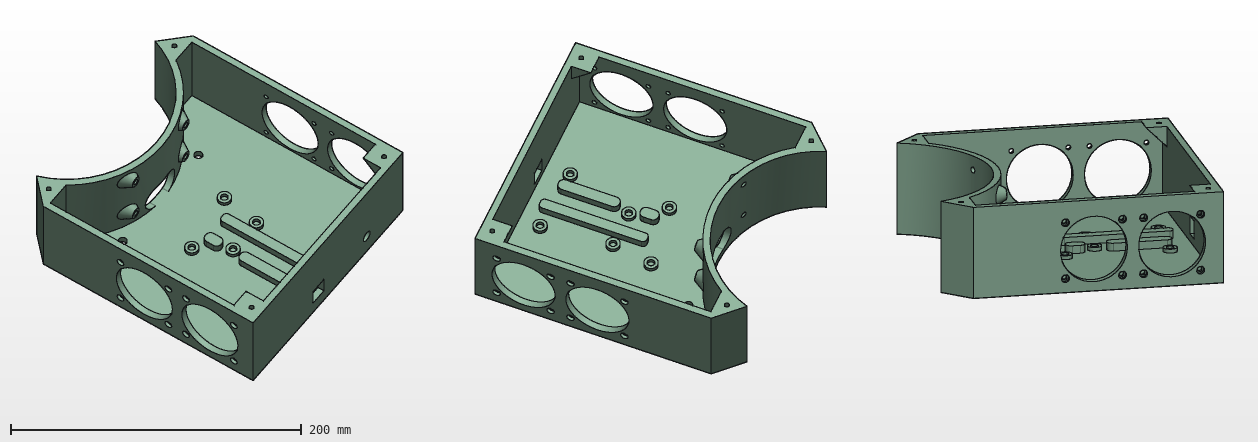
import cadquery as cq
import math

LENGTH = 195.0
WIDTH = 180.0
HEIGHT = 65.5
WALL = 5.0
FLOOR = 5.0
OVERCUT = 2.0

CORNER_CUT = 19.0
RECESS_RADIUS = 75.0
TIP_Y = WIDTH / 2 - CORNER_CUT
RECESS_CENTER_X = -math.sqrt(RECESS_RADIUS**2 - TIP_Y**2)
CAVITY_START_X = 21.3

GUSSET_SIZE = 14.6
LID_HOLE_DIAMETER = 3.3
LID_HOLE_DEPTH = 9.8
TIP_SCREW = (13.3, 75.5)
GUSSET_SCREW = (186.5, 79.5)

FAN_CENTERS_X = (103.7, 158.7)
FAN_CENTER_Z = 30.2
FAN_DIAMETER = 47.0
FAN_SCREW_PITCH = 40.2
FAN_SCREW_DIAMETER = 3.3
FAN_SCREW_HEAD_DIAMETER = 5.5
FAN_SCREW_HEAD_DEPTH = 2.5

BOSS_END_X = 54.6
BOSS_LENGTH = 9.8
BOSS_END_DIAMETER = 8.0
BOSS_TAPER = 31.0
BOSS_Y = 30.0
BOSS_HEIGHTS = (19.9, 55.4)
BOSS_HOLE_DIAMETER = 4.0
SLOT_LENGTH = 35.1
SLOT_HEIGHT = 19.9

PORT_CENTER_Z = 17.0
SQUARE_PORT_SIZE = 12.9
SQUARE_PORT_Y = -11.3
ROUND_PORT_DIAMETER = 8.0
ROUND_PORT_Y = 46.6

STANDOFF_DIAMETER = 10.0
STANDOFF_HOLE_DIAMETER = 5.3
STANDOFF_HEIGHT = 2.7
STANDOFFS = [(91.3, 24.0), (174.0, 24.0), (121.7, 19.0), (121.7, -9.2), (97.7, -24.4), (171.6, -24.4)]
RAIL_HEIGHT = 5.7
RAIL_START_X = 100.6
LONG_RAIL_Y = 8.0
SHORT_RAIL_START_X = 129.7
SHORT_RAIL_Y = -12.0
SHORT_RAIL_WIDTH = 8.5
SHORT_RAIL_CORNER = 3.9
RAILS = [
    (RAIL_START_X, LONG_RAIL_Y, 80.0, 7.8, 3.0),
    (RAIL_START_X, SHORT_RAIL_Y, 13.5, SHORT_RAIL_WIDTH, SHORT_RAIL_CORNER),
    (SHORT_RAIL_START_X, SHORT_RAIL_Y, 45.6, SHORT_RAIL_WIDTH, SHORT_RAIL_CORNER),
]
FLOOR_HOLE_DIAMETER = 6.0
FLOOR_HOLE_X = 54.5
FLOOR_HOLE_Y = 45.5


def cylinder_z(radius, height, x, y, z):
    return cq.Workplane("XY", origin=(x, y, z)).circle(radius).extrude(height)


def make_shell():
    half = WIDTH / 2
    outline = [
        (0, -TIP_Y), (CORNER_CUT, -half), (LENGTH, -half),
        (LENGTH, half), (CORNER_CUT, half), (0, TIP_Y),
    ]
    block = cq.Workplane("XY").polyline(outline).close().extrude(HEIGHT)
    cavity = cq.Workplane("XY", origin=(0, 0, FLOOR)).moveTo(CAVITY_START_X, -half + WALL)
    cavity = cavity.lineTo(LENGTH - WALL, -half + WALL).lineTo(LENGTH - WALL, half - WALL)
    cavity = cavity.lineTo(CAVITY_START_X, half - WALL).close().extrude(HEIGHT)
    curved_wall = cylinder_z(RECESS_RADIUS + WALL, HEIGHT, RECESS_CENTER_X, 0, 0)
    return block.cut(cavity.cut(curved_wall))


def make_gusset(side):
    """Corner gusset with a 45 degree underside, on the side = +1 or -1 Y wall."""
    wall_x = LENGTH - WALL
    profile = [(wall_x, HEIGHT), (wall_x - GUSSET_SIZE, HEIGHT), (wall_x, HEIGHT - GUSSET_SIZE)]
    gusset = cq.Workplane("XZ").polyline(profile).close().extrude(GUSSET_SIZE / 2, both=True)
    return gusset.translate((0, side * (WIDTH / 2 - WALL - GUSSET_SIZE / 2), 0))


def make_boss(y, z):
    """Cone frustum along X that widens toward the curved wall."""
    end_radius = BOSS_END_DIAMETER / 2
    base_radius = end_radius + BOSS_LENGTH * math.tan(math.radians(BOSS_TAPER))
    base_center = cq.Vector(BOSS_END_X - BOSS_LENGTH, y, z)
    cone = cq.Solid.makeCone(base_radius, end_radius, BOSS_LENGTH, base_center, cq.Vector(1, 0, 0))
    return cq.Workplane(cone)


def make_rail(start_x, center_y, length, width, corner_radius):
    rail = cq.Workplane("XY").box(length, width, RAIL_HEIGHT, centered=(False, True, False))
    return rail.edges("|Z").fillet(corner_radius).translate((start_x, center_y, FLOOR))


def make_fan_cutter():
    """Fan bores and counterbored screw holes through the -Y wall, heads on the outside."""
    half_pitch = FAN_SCREW_PITCH / 2
    fans = [(fan_x, FAN_CENTER_Z) for fan_x in FAN_CENTERS_X]
    screws = [
        (fan_x + dx, fan_z + dz)
        for fan_x, fan_z in fans
        for dx in (-half_pitch, half_pitch)
        for dz in (-half_pitch, half_pitch)
    ]
    outer_face = cq.Workplane("XZ", origin=(0, -WIDTH / 2, 0))
    bores = outer_face.pushPoints(fans).circle(FAN_DIAMETER / 2).extrude(-WALL)
    holes = outer_face.pushPoints(screws).circle(FAN_SCREW_DIAMETER / 2).extrude(-WALL)
    heads = outer_face.pushPoints(screws).circle(FAN_SCREW_HEAD_DIAMETER / 2).extrude(-FAN_SCREW_HEAD_DEPTH)
    return bores.union(holes).union(heads)


def make_port_cutters():
    """Square and round openings through the +X wall, at the same height."""
    wall_inside = cq.Workplane("YZ", origin=(LENGTH - WALL, 0, PORT_CENTER_Z))
    square_port = wall_inside.center(SQUARE_PORT_Y, 0).rect(SQUARE_PORT_SIZE, SQUARE_PORT_SIZE).extrude(WALL)
    round_port = wall_inside.center(ROUND_PORT_Y, 0).circle(ROUND_PORT_DIAMETER / 2).extrude(WALL)
    return square_port.union(round_port)


result = make_shell()
for side in (-1, 1):
    result = result.union(make_gusset(side))

boss_points = [(side * BOSS_Y, boss_z) for side in (-1, 1) for boss_z in BOSS_HEIGHTS]
for boss_y, boss_z in boss_points:
    result = result.union(make_boss(boss_y, boss_z))
result = result.cut(cylinder_z(RECESS_RADIUS, HEIGHT, RECESS_CENTER_X, 0, 0))

boss_holes = cq.Workplane("YZ").pushPoints(boss_points).circle(BOSS_HOLE_DIAMETER / 2)
result = result.cut(boss_holes.extrude(BOSS_END_X + OVERCUT))
slot = cq.Workplane("YZ", origin=(0, 0, FLOOR + SLOT_HEIGHT / 2)).slot2D(SLOT_LENGTH, SLOT_HEIGHT)
result = result.cut(slot.extrude(BOSS_END_X + OVERCUT))

for x, y in STANDOFFS:
    result = result.union(cylinder_z(STANDOFF_DIAMETER / 2, STANDOFF_HEIGHT, x, y, FLOOR))
    result = result.cut(cylinder_z(STANDOFF_HOLE_DIAMETER / 2, STANDOFF_HEIGHT, x, y, FLOOR))
for rail in RAILS:
    result = result.union(make_rail(*rail))

for side in (-1, 1):
    result = result.cut(cylinder_z(FLOOR_HOLE_DIAMETER / 2, FLOOR, FLOOR_HOLE_X, side * FLOOR_HOLE_Y, 0))
    for x, y in (TIP_SCREW, GUSSET_SCREW):
        lid_hole = cylinder_z(LID_HOLE_DIAMETER / 2, LID_HOLE_DEPTH, x, side * y, HEIGHT - LID_HOLE_DEPTH)
        result = result.cut(lid_hole)

fan_cutter = make_fan_cutter()
result = result.cut(fan_cutter).cut(fan_cutter.mirror("XZ"))
result = result.cut(make_port_cutters())